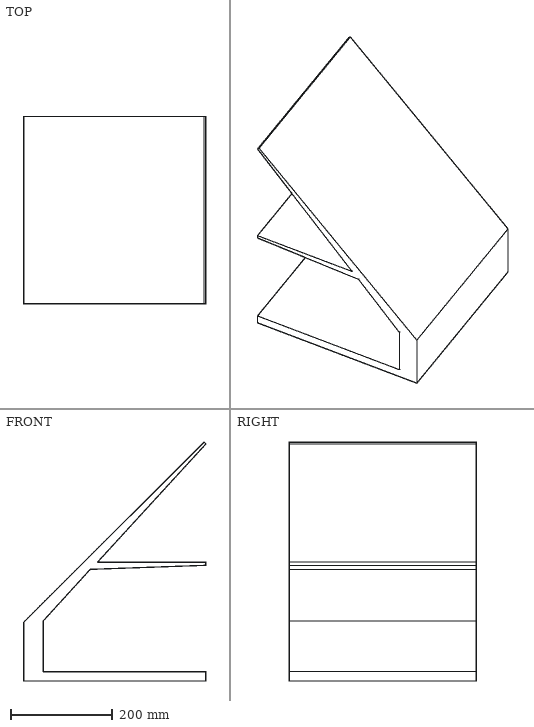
import cadquery as cq

depth = 360.0
width = 370.0
height = 472.0

front_wall_height = 116.0
front_wall_thickness = 39.0
front_wall_inner_top = 119.0
base_thickness = 19.0

panel_tip_drop = 4.0
panel_tip_setback = 4.0

shelf_top = 235.0
shelf_tip_thickness = 6.5
shelf_root_bottom = 220.5
shelf_top_root_x = 146.5
shelf_bottom_root_x = 131.5

profile = [
    (0, 0),
    (depth, 0),
    (depth, base_thickness),
    (front_wall_thickness, base_thickness),
    (front_wall_thickness, front_wall_inner_top),
    (shelf_bottom_root_x, shelf_root_bottom),
    (depth, shelf_top - shelf_tip_thickness),
    (depth, shelf_top),
    (shelf_top_root_x, shelf_top),
    (depth, height - panel_tip_drop),
    (depth - panel_tip_setback, height),
    (0, front_wall_height),
]

result = cq.Workplane("XZ").polyline(profile).close().extrude(width / 2, both=True)